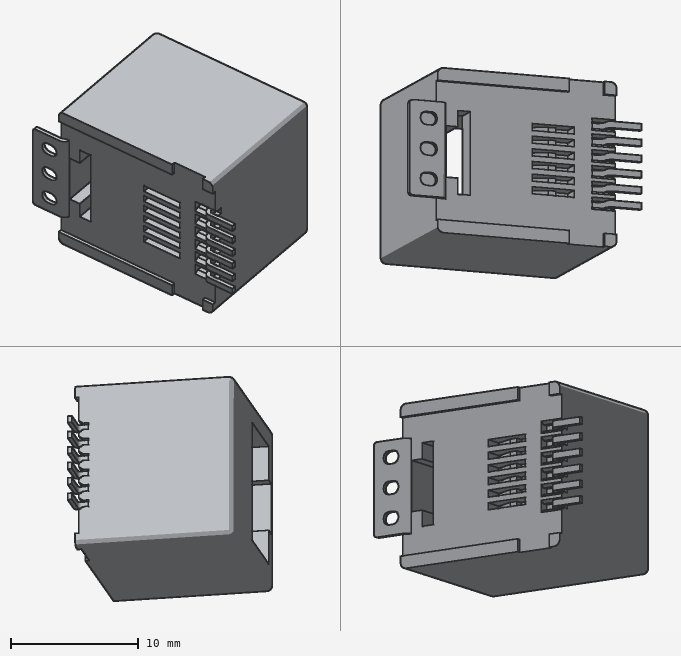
import cadquery as cq
import math


DIAGONAL = math.sqrt(0.5)

BODY_LENGTH = 15.04
BODY_HEIGHT = 13.2
BACK_Y = 12.39
EDGE_RADIUS = 0.5
LEFT = -BODY_LENGTH / 2
RIGHT = BODY_LENGTH / 2

PAD_RISE = 0.31
PAD_WIDTH = 1.03
LONG_PAD_LENGTH = 11.06
CORNER_PAD_LENGTH = 1.0

SHEET = 0.35
SHEET_FRONT_Y = -0.47
SHEET_BACK_Y = SHEET_FRONT_Y + SHEET

TAB_OVERHANG = 2.42
TAB_FLAT_LENGTH = 2.61
TAB_HEIGHT = 7.64
TAB_CORNER_RADIUS = 0.3
TAB_BEND_RADIUS = 0.65
TAB_ROOT_Y = 0.58
TAB_LEFT = LEFT - TAB_OVERHANG
TAB_HOLE_LENGTH = 1.4
TAB_HOLE_HEIGHT = 1.05
TAB_HOLE_INSET = 1.62
TAB_HOLE_PITCH = 2.44
TAB_HOLE_COUNT = 3

STEM_LEFT = LEFT + 0.85
BAR_LEFT = LEFT + 1.83
BAR_RIGHT = LEFT + 2.88
STEM_HEIGHT = 4.11
BAR_HEIGHT = 6.7
CAVITY_FRONT_Y = 1.75
CAVITY_LENGTH = 6.23
CAVITY_RIGHT = BAR_LEFT + CAVITY_LENGTH
CAVITY_HEIGHT = 9.66

WAY_COUNT = 6
SLOT_LEFT = LEFT + 8.08
SLOT_LENGTH = 3.5
SLOT_HEIGHT = 0.56
SLOT_PITCH = 1.01
SLOT_DEPTH = 1.36
CONTACT_HEIGHT = 0.49
RAMP_INSET = 0.05
RAMP_LENGTH = 1.54
RAMP_RISE = 0.65
CREST_LENGTH = 0.65
CREST_RISE = 0.04

PIN_PITCH = 1.27
PIN_HEIGHT = 0.53
PIN_OVERHANG = 2.03
PIN_BEND_RADIUS = 0.55
PIN_RISER_X = RIGHT - 0.82
GROOVE_LENGTH = 1.95
GROOVE_MOUTH = 0.97
GROOVE_BEVEL_DEPTH = 0.33
GROOVE_DEPTH = 0.78


def block(x_range, y_range, height, z=0):
    """Box spanning the X and Y ranges, with its height centred on z."""
    size_x = x_range[1] - x_range[0]
    size_y = y_range[1] - y_range[0]
    box = cq.Workplane("XY").box(size_x, size_y, height, centered=(False, False, True))
    return box.translate((x_range[0], y_range[0], z))


def centred_row(count, pitch):
    """Evenly spaced positions centred on zero."""
    return [(i - (count - 1) / 2) * pitch for i in range(count)]


def housing():
    """Rounded block whose contact face is recessed between the edge pads."""
    body = block((LEFT, RIGHT), (-PAD_RISE, BACK_Y), BODY_HEIGHT)
    body = body.edges("|Y or >Y").fillet(EDGE_RADIUS)
    field = block((LEFT, RIGHT), (-PAD_RISE, 0), BODY_HEIGHT - 2 * PAD_WIDTH)
    pad_gap = block((LEFT + LONG_PAD_LENGTH, RIGHT - CORNER_PAD_LENGTH), (-PAD_RISE, 0), BODY_HEIGHT)
    return body.cut(field).cut(pad_gap)


def plug_opening():
    """T-shaped passage right through, widening into the plug cavity behind the contact wall."""
    stem = block((STEM_LEFT, BAR_LEFT), (0, BACK_Y), STEM_HEIGHT)
    bar = block((BAR_LEFT, BAR_RIGHT), (0, BACK_Y), BAR_HEIGHT)
    cavity = block((BAR_LEFT, CAVITY_RIGHT), (CAVITY_FRONT_Y, BACK_Y), CAVITY_HEIGHT)
    return stem.union(bar).union(cavity)


def mounting_tab():
    """Flat perforated tab whose inner end bends a quarter turn into the housing."""
    bend_x = TAB_LEFT + TAB_FLAT_LENGTH
    bend_y = SHEET_FRONT_Y + TAB_BEND_RADIUS
    inner_radius = TAB_BEND_RADIUS - SHEET
    tab = (
        cq.Workplane("XY")
        .moveTo(TAB_LEFT, SHEET_FRONT_Y)
        .lineTo(bend_x, SHEET_FRONT_Y)
        .threePointArc(
            (bend_x + TAB_BEND_RADIUS * DIAGONAL, bend_y - TAB_BEND_RADIUS * DIAGONAL),
            (bend_x + TAB_BEND_RADIUS, bend_y),
        )
        .lineTo(bend_x + TAB_BEND_RADIUS, TAB_ROOT_Y)
        .lineTo(bend_x + inner_radius, TAB_ROOT_Y)
        .lineTo(bend_x + inner_radius, bend_y)
        .threePointArc(
            (bend_x + inner_radius * DIAGONAL, bend_y - inner_radius * DIAGONAL),
            (bend_x, SHEET_BACK_Y),
        )
        .lineTo(TAB_LEFT, SHEET_BACK_Y)
        .close()
        .extrude(TAB_HEIGHT / 2, both=True)
        .edges("|Y and <X")
        .fillet(TAB_CORNER_RADIUS)
    )
    hole_x = TAB_LEFT + TAB_HOLE_INSET
    holes = (
        cq.Workplane("XZ", origin=(0, SHEET_BACK_Y, 0))
        .pushPoints([(hole_x, z) for z in centred_row(TAB_HOLE_COUNT, TAB_HOLE_PITCH)])
        .slot2D(TAB_HOLE_LENGTH, TAB_HOLE_HEIGHT)
        .extrude(SHEET)
    )
    return tab.cut(holes)


def contact_slot(z):
    """Blind slot in the contact face."""
    return block((SLOT_LEFT, SLOT_LEFT + SLOT_LENGTH), (0, SLOT_DEPTH), SLOT_HEIGHT, z)


def contact(z):
    """Contact on the slot floor: a steep ramp, then a gently sloping crest ending in a step."""
    ramp_x = SLOT_LEFT + RAMP_INSET
    crest_x = ramp_x + RAMP_LENGTH
    end_x = crest_x + CREST_LENGTH
    crest_y = SLOT_DEPTH - RAMP_RISE
    return (
        cq.Workplane("XY", origin=(0, 0, z))
        .moveTo(ramp_x, SLOT_DEPTH)
        .lineTo(crest_x, crest_y)
        .lineTo(end_x, crest_y - CREST_RISE)
        .lineTo(end_x, SLOT_DEPTH)
        .close()
        .extrude(CONTACT_HEIGHT / 2, both=True)
    )


def pin_groove(z):
    """Groove with a bevelled mouth, open at the +X end of the housing."""
    groove_left = RIGHT - GROOVE_LENGTH
    return (
        cq.Workplane("YZ", origin=(groove_left, 0, z))
        .moveTo(0, GROOVE_MOUTH / 2)
        .lineTo(GROOVE_BEVEL_DEPTH, PIN_HEIGHT / 2)
        .lineTo(GROOVE_DEPTH, PIN_HEIGHT / 2)
        .lineTo(GROOVE_DEPTH, -PIN_HEIGHT / 2)
        .lineTo(GROOVE_BEVEL_DEPTH, -PIN_HEIGHT / 2)
        .lineTo(0, -GROOVE_MOUTH / 2)
        .close()
        .extrude(GROOVE_LENGTH)
    )


def pin(z):
    """Pin that rises from the groove floor with a flared root and bends over to point along +X."""
    riser_back_x = PIN_RISER_X + SHEET
    back_radius = PIN_BEND_RADIUS - SHEET
    bend_x = PIN_RISER_X + PIN_BEND_RADIUS
    bend_y = SHEET_FRONT_Y + PIN_BEND_RADIUS
    flare_x = PIN_RISER_X - PIN_BEND_RADIUS
    flare_y = GROOVE_DEPTH - PIN_BEND_RADIUS
    tip_x = RIGHT + PIN_OVERHANG
    root_y = GROOVE_DEPTH + SHEET
    return (
        cq.Workplane("XY", origin=(0, 0, z))
        .moveTo(flare_x, GROOVE_DEPTH)
        .threePointArc(
            (flare_x + PIN_BEND_RADIUS * DIAGONAL, flare_y + PIN_BEND_RADIUS * DIAGONAL),
            (PIN_RISER_X, flare_y),
        )
        .lineTo(PIN_RISER_X, bend_y)
        .threePointArc(
            (bend_x - PIN_BEND_RADIUS * DIAGONAL, bend_y - PIN_BEND_RADIUS * DIAGONAL),
            (bend_x, SHEET_FRONT_Y),
        )
        .lineTo(tip_x, SHEET_FRONT_Y)
        .lineTo(tip_x, SHEET_BACK_Y)
        .lineTo(bend_x, SHEET_BACK_Y)
        .threePointArc(
            (bend_x - back_radius * DIAGONAL, bend_y - back_radius * DIAGONAL),
            (riser_back_x, bend_y),
        )
        .lineTo(riser_back_x, root_y)
        .lineTo(flare_x, root_y)
        .close()
        .extrude(PIN_HEIGHT / 2, both=True)
    )


result = housing().cut(plug_opening()).union(mounting_tab())
for slot_z in centred_row(WAY_COUNT, SLOT_PITCH):
    result = result.cut(contact_slot(slot_z)).union(contact(slot_z))
for pin_z in centred_row(WAY_COUNT, PIN_PITCH):
    result = result.cut(pin_groove(pin_z)).union(pin(pin_z))